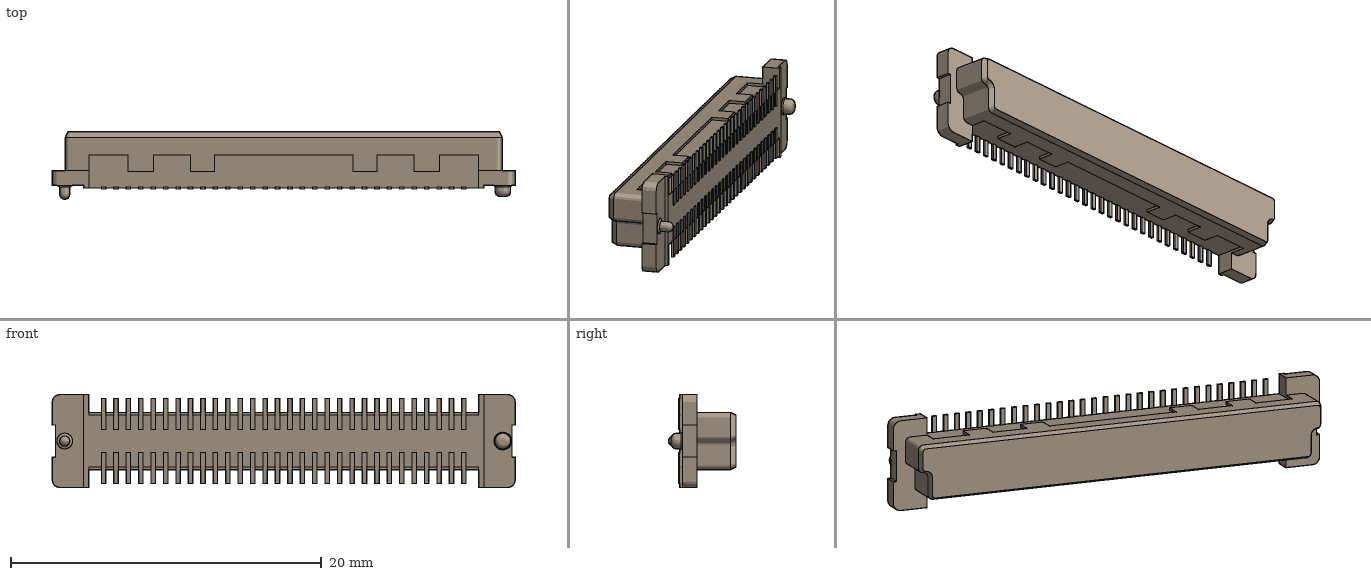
import cadquery as cq


overall_length = 29.8
ear_height = 6.0
ear_inner_x = 12.55
ear_back_y = 1.13
ear_front_y = 0.18
ear_corner_radius = 0.5
ear_notch_height = 2.05
ear_notch_depth = 0.2
foot_outer_x = 12.87

base_height = 3.35

body_half_length = 14.07
body_height = 3.7
body_top_y = 3.65
key_step_radius = 0.33
body_corner_radius = 0.35
lead_in_depth = 0.35
lead_in_inset = 0.18

relief_top_y = 2.15
tooth_bottom_y = 1.07
tooth_spans = [(4.45, 6.0), (8.37, 10.0)]

tails_per_row = 30
tail_span = 23.18
tail_width = 0.3
tail_inner_z = 0.75
tail_outer_z = 2.75
tail_front_y = -0.05
tail_back_y = 0.1

peg_x = 14.1
peg_collar_height = 0.1
slim_peg_radius = 0.33
slim_peg_collar_radius = 0.5
slim_peg_tip_y = -0.72
slim_peg_tip_rounding = slim_peg_radius
wide_peg_radius = 0.5
wide_peg_collar_radius = 0.57
wide_peg_tip_y = -0.55
wide_peg_tip_rounding = 0.33


def block(x_range, y_range, z_range):
    """Axis-aligned block between the given limits."""
    size = [high - low for low, high in (x_range, y_range, z_range)]
    corner = (x_range[0], y_range[0], z_range[0])
    return cq.Workplane("XY").box(*size, centered=False).translate(corner)


def keyed_body():
    """Mating body: upper half longer, joined to the lower half by S-shaped steps at both ends."""
    long_x = body_half_length
    short_x = long_x - 2 * key_step_radius
    mid_x = long_x - key_step_radius
    half_z = body_height / 2
    corner = body_corner_radius
    step = key_step_radius

    outline = (
        cq.Workplane("XZ", origin=(0, ear_front_y, 0))
        .moveTo(-long_x + corner, half_z)
        .lineTo(long_x - corner, half_z)
        .radiusArc((long_x, half_z - corner), corner)
        .lineTo(long_x, step)
        .radiusArc((mid_x, 0), step)
        .radiusArc((short_x, -step), -step)
        .lineTo(short_x, -half_z + corner)
        .radiusArc((short_x - corner, -half_z), corner)
        .lineTo(-short_x + corner, -half_z)
        .radiusArc((-short_x, -half_z + corner), corner)
        .lineTo(-short_x, -step)
        .radiusArc((-mid_x, 0), -step)
        .radiusArc((-long_x, step), step)
        .lineTo(-long_x, half_z - corner)
        .radiusArc((-long_x + corner, half_z), corner)
        .close()
    )
    body = outline.extrude(ear_front_y - body_top_y)
    return body.faces(">Y").chamfer(lead_in_depth, lead_in_inset)


def side_relief(side):
    """Material removed from one long side of the body; side is +1 (top) or -1 (bottom)."""
    z_range = sorted((side * base_height / 2, side * body_height))
    relief = block((-ear_inner_x, ear_inner_x), (0, relief_top_y), z_range)
    for near_x, far_x in tooth_spans:
        for x_range in ((near_x, far_x), (-far_x, -near_x)):
            relief = relief.cut(block(x_range, (tooth_bottom_y, relief_top_y), z_range))
    return relief


def ear(side):
    """Mounting ear with a thicker foot along its inner edge; side is +1 or -1 along X."""
    half_z = ear_height / 2
    outer_x = overall_length / 2
    plate = block((ear_inner_x, outer_x), (ear_front_y, ear_back_y), (-half_z, half_z))
    plate = plate.edges("|Y and >X").fillet(ear_corner_radius)
    notch = block(
        (outer_x - ear_notch_depth, outer_x),
        (ear_front_y, ear_back_y),
        (-ear_notch_height / 2, ear_notch_height / 2),
    )
    foot = block((ear_inner_x, foot_outer_x), (0, ear_back_y), (-half_z, half_z))
    right_ear = plate.cut(notch).union(foot)
    return right_ear if side > 0 else right_ear.mirror("YZ")


def peg(x, radius, collar_radius, tip_y, tip_rounding):
    """Peg turned about an axis parallel to Y: conical collar, straight shank, rounded tip."""
    profile = (
        cq.Workplane("XY")
        .moveTo(0, ear_back_y)
        .lineTo(collar_radius, ear_back_y)
        .lineTo(collar_radius, ear_front_y)
        .lineTo(radius, ear_front_y - peg_collar_height)
        .lineTo(radius, tip_y + tip_rounding)
        .radiusArc((radius - tip_rounding, tip_y), tip_rounding)
    )
    has_flat_tip = tip_rounding < radius
    if has_flat_tip:
        profile = profile.lineTo(0, tip_y)
    return profile.close().revolve(360, (0, 0, 0), (0, 1, 0)).translate((x, 0, 0))


def contact_tails():
    """Two rows of flat tails lying across the board face of the base."""
    pitch = tail_span / (tails_per_row - 1)
    length = tail_outer_z - tail_inner_z
    row_z = (tail_outer_z + tail_inner_z) / 2
    return (
        cq.Workplane("XZ", origin=(0, tail_back_y, 0))
        .rarray(pitch, 2 * row_z, tails_per_row, 2)
        .rect(tail_width, length)
        .extrude(tail_back_y - tail_front_y)
    )


base = block(
    (-ear_inner_x, ear_inner_x),
    (0, relief_top_y),
    (-base_height / 2, base_height / 2),
)
slim_peg = peg(-peg_x, slim_peg_radius, slim_peg_collar_radius, slim_peg_tip_y, slim_peg_tip_rounding)
wide_peg = peg(peg_x, wide_peg_radius, wide_peg_collar_radius, wide_peg_tip_y, wide_peg_tip_rounding)

result = keyed_body().cut(side_relief(1)).cut(side_relief(-1)).union(base)
result = result.union(ear(-1)).union(ear(1))
result = result.union(slim_peg).union(wide_peg)
result = result.union(contact_tails())